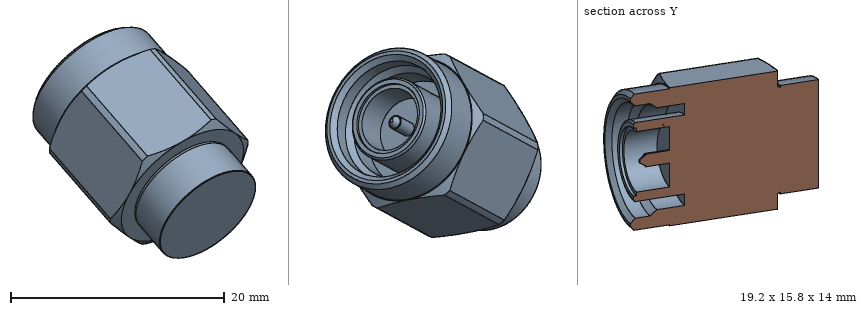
import cadquery as cq
import math

COLLAR_LENGTH = 4.0
HEX_LENGTH = 11.0
NECK_LENGTH = 0.25
OVERALL_LENGTH = 19.16
HEX_END = COLLAR_LENGTH + HEX_LENGTH
REAR_START = HEX_END + NECK_LENGTH

COLLAR_RADIUS = 6.92
COLLAR_CHAMFER = 0.42
HEX_ACROSS_FLATS = 14.02
HEX_CORNER_RADIUS = 15.81 / 2
HEX_CHAMFER_ANGLE = 30.0
REAR_RADIUS = 5.52
REAR_CHAMFER = 0.06
NECK_START_RADIUS = 5.48
NECK_END_RADIUS = 5.3

MOUTH_RADIUS = 6.17
CAVITY_RADIUS = 5.67
INNER_CAVITY_RADIUS = 5.14
INNER_CAVITY_START = 2.7
CAVITY_DEPTH = 5.5
MOUTH_CHAMFER = MOUTH_RADIUS - CAVITY_RADIUS
STEP_TAPER_LENGTH = 0.7

SLEEVE_START = 0.33
SLEEVE_RADIUS = 4.03
SLEEVE_CHAMFER = 0.18
SLEEVE_COUNTERBORE_RADIUS = 3.42
SLEEVE_COUNTERBORE_DEPTH = 0.3
SLEEVE_BORE_RADIUS = 3.04
SLEEVE_FLOOR = 4.0

PIN_TIP = 0.97
PIN_TIP_RADIUS = 0.18
PIN_SHOULDER_RADIUS = 0.58
PIN_RADIUS = 0.67
PIN_TAPER_LENGTH = 0.6
PIN_SHOULDER_LENGTH = 0.03


def revolve_about_axis(points):
    """Turn a closed (x, radius) outline into a solid around the X axis."""
    return cq.Workplane("XY").polyline(points).close().revolve(360, (0, 0, 0), (1, 0, 0))


def make_hex_nut():
    flat_radius = HEX_ACROSS_FLATS / 2
    chamfer_length = (HEX_CORNER_RADIUS - flat_radius) * math.tan(math.radians(HEX_CHAMFER_ANGLE))
    prism = (
        cq.Workplane("YZ")
        .polygon(6, HEX_ACROSS_FLATS, circumscribed=True)
        .extrude(HEX_LENGTH)
        .rotate((0, 0, 0), (1, 0, 0), 90)
        .translate((COLLAR_LENGTH, 0, 0))
    )
    corner_envelope = revolve_about_axis([
        (COLLAR_LENGTH, 0),
        (COLLAR_LENGTH, flat_radius),
        (COLLAR_LENGTH + chamfer_length, HEX_CORNER_RADIUS),
        (HEX_END - chamfer_length, HEX_CORNER_RADIUS),
        (HEX_END, flat_radius),
        (HEX_END, 0),
    ])
    return prism.intersect(corner_envelope)


def make_turned_body():
    return revolve_about_axis([
        (0, 0),
        (0, COLLAR_RADIUS - COLLAR_CHAMFER),
        (COLLAR_CHAMFER, COLLAR_RADIUS),
        (COLLAR_LENGTH, COLLAR_RADIUS),
        (HEX_END, NECK_START_RADIUS),
        (REAR_START, NECK_END_RADIUS),
        (REAR_START, REAR_RADIUS),
        (OVERALL_LENGTH - REAR_CHAMFER, REAR_RADIUS),
        (OVERALL_LENGTH, REAR_RADIUS - REAR_CHAMFER),
        (OVERALL_LENGTH, 0),
    ])


def make_mating_cavity():
    """Open space around and inside the sleeve, leaving the sleeve standing."""
    sleeve_counterbore_end = SLEEVE_START + SLEEVE_COUNTERBORE_DEPTH
    return revolve_about_axis([
        (0, 0),
        (0, MOUTH_RADIUS),
        (MOUTH_CHAMFER, CAVITY_RADIUS),
        (INNER_CAVITY_START - STEP_TAPER_LENGTH, CAVITY_RADIUS),
        (INNER_CAVITY_START, INNER_CAVITY_RADIUS),
        (CAVITY_DEPTH, INNER_CAVITY_RADIUS),
        (CAVITY_DEPTH, SLEEVE_RADIUS),
        (SLEEVE_START + SLEEVE_CHAMFER, SLEEVE_RADIUS),
        (SLEEVE_START, SLEEVE_RADIUS - SLEEVE_CHAMFER),
        (SLEEVE_START, SLEEVE_COUNTERBORE_RADIUS),
        (sleeve_counterbore_end, SLEEVE_COUNTERBORE_RADIUS),
        (sleeve_counterbore_end, SLEEVE_BORE_RADIUS),
        (SLEEVE_FLOOR, SLEEVE_BORE_RADIUS),
        (SLEEVE_FLOOR, 0),
    ])


def make_pin():
    taper_end = PIN_TIP + PIN_TAPER_LENGTH
    return revolve_about_axis([
        (PIN_TIP, 0),
        (PIN_TIP, PIN_TIP_RADIUS),
        (taper_end, PIN_SHOULDER_RADIUS),
        (taper_end + PIN_SHOULDER_LENGTH, PIN_RADIUS),
        (SLEEVE_FLOOR, PIN_RADIUS),
        (SLEEVE_FLOOR, 0),
    ])


result = (
    make_turned_body()
    .union(make_hex_nut())
    .cut(make_mating_cavity())
    .union(make_pin())
)